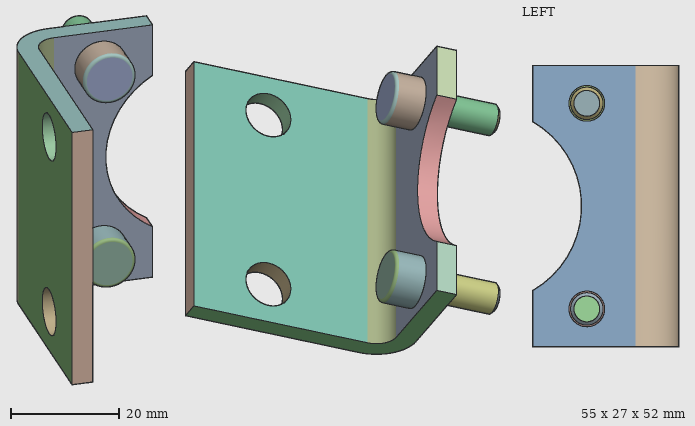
import cadquery as cq

thickness = 4.0
height = 52.0
long_leg = 43.0
short_leg = 27.0
inner_bend_radius = 4.0
outer_bend_radius = inner_bend_radius + thickness
middle_z = height / 2

mount_hole_diameter = 9.0
mount_hole_x = long_leg - 15.0
mount_hole_spacing = 36.0

cutout_radius = 18.0
cutout_depth = 9.0
cutout_center_y = short_leg - cutout_depth + cutout_radius

screw_y = short_leg - 10.0
screw_spacing = 38.0
screw_hole_diameter = 6.6
shank_diameter = 6.0
shank_protrusion = 12.0
shank_length = thickness + shank_protrusion
shank_chamfer = 0.6135
head_diameter = 10.0
head_height = 6.0
head_edge_radius = 0.6


def pair_heights(spacing):
    """Heights of two features placed evenly about mid-height."""
    return [middle_z - spacing / 2, middle_z + spacing / 2]


def make_bracket():
    """L-shaped sheet with a rounded bend, mounting holes, screw holes and a cutout."""
    sheet = (
        cq.Workplane("XY")
        .moveTo(0, short_leg)
        .lineTo(0, outer_bend_radius)
        .radiusArc((outer_bend_radius, 0), -outer_bend_radius)
        .lineTo(long_leg, 0)
        .lineTo(long_leg, thickness)
        .lineTo(outer_bend_radius, thickness)
        .radiusArc((thickness, outer_bend_radius), inner_bend_radius)
        .lineTo(thickness, short_leg)
        .close()
        .extrude(height)
    )
    mount_holes = (
        cq.Workplane("XZ")
        .pushPoints([(mount_hole_x, z) for z in pair_heights(mount_hole_spacing)])
        .circle(mount_hole_diameter / 2)
        .extrude(-thickness)
    )
    screw_holes = (
        cq.Workplane("YZ")
        .pushPoints([(screw_y, z) for z in pair_heights(screw_spacing)])
        .circle(screw_hole_diameter / 2)
        .extrude(thickness)
    )
    edge_cutout = (
        cq.Workplane("YZ")
        .center(cutout_center_y, middle_z)
        .circle(cutout_radius)
        .extrude(thickness)
    )
    return sheet.cut(mount_holes).cut(screw_holes).cut(edge_cutout)


def make_screw(z):
    """Cap screw along X, its head seated on the inner face of the short leg."""
    head = (
        cq.Workplane("YZ", origin=(thickness, screw_y, z))
        .circle(head_diameter / 2)
        .extrude(head_height)
        .faces(">X")
        .edges()
        .fillet(head_edge_radius)
    )
    shank = (
        cq.Workplane("YZ", origin=(thickness, screw_y, z))
        .circle(shank_diameter / 2)
        .extrude(-shank_length)
        .faces("<X")
        .edges()
        .chamfer(shank_chamfer)
    )
    return head.union(shank)


bracket = make_bracket()
screws = [make_screw(z) for z in pair_heights(screw_spacing)]

result = cq.Compound.makeCompound([bracket.val(), *[screw.val() for screw in screws]])